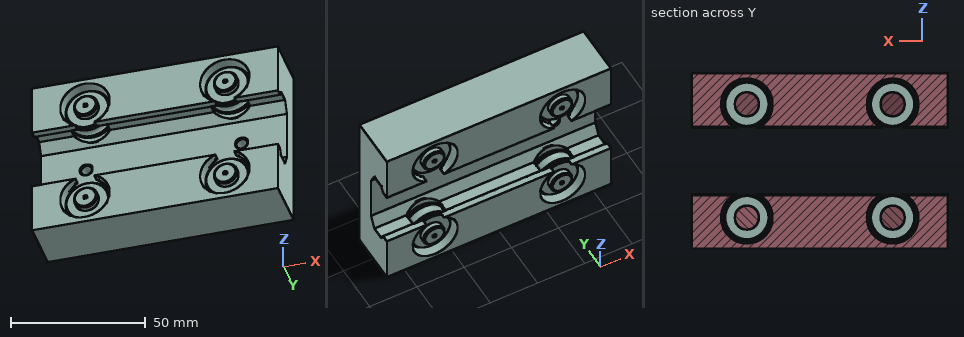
import cadquery as cq
import math

plate_width = 95.0
plate_depth = 21.0
plate_height = 65.0

channel_depth = 12.0
lip_half_height = 12.25
undercut_half_height = 14.5
floor_half_height = 9.85
undercut_centre_depth = 6.85
undercut_flat_width = 5.3
lip_flank_angle = math.radians(60)

hole_spacing = 60.0
hole_diameter = 4.2
hole_chamfer = 0.4

roller_spacing_x = 54.0
roller_spacing_z = 42.0
pocket_diameter = 19.0
pocket_depth = 11.5
roller_diameter = 17.0
roller_width = 7.0
roller_centre_depth = 6.6
roller_chamfer = 0.5
groove_half_width = 1.9
groove_depth = 1.05
hub_diameter = 9.0
hub_front_depth = 0.5
hub_chamfer = 0.5
centre_hole_diameter = 1.5
centre_hole_depth = 1.0

roller_places = [
    (side_x * roller_spacing_x / 2, side_z * roller_spacing_z / 2)
    for side_x in (-1, 1)
    for side_z in (-1, 1)
]


def cylinder_along_y(diameter, start, end, x=0.0, z=0.0):
    """Cylinder with its axis along +Y from y = start to y = end."""
    base = cq.Plane(origin=(x, start, z), xDir=(1, 0, 0), normal=(0, 1, 0))
    return cq.Workplane(base).circle(diameter / 2).extrude(end - start)


def make_channel():
    """Channel cutter: a front slot that widens behind the lips and narrows to the floor."""
    flat_start = undercut_centre_depth - undercut_flat_width / 2
    flat_end = undercut_centre_depth + undercut_flat_width / 2
    lip_end = flat_start - (undercut_half_height - lip_half_height) / math.tan(lip_flank_angle)
    upper_half = [
        (0, lip_half_height),
        (lip_end, lip_half_height),
        (flat_start, undercut_half_height),
        (flat_end, undercut_half_height),
        (channel_depth, floor_half_height),
    ]
    lower_half = [(y, -z) for y, z in reversed(upper_half)]
    return cq.Workplane("YZ").polyline(upper_half + lower_half).close().extrude(plate_width / 2, both=True)


def make_mounting_hole(x):
    """Through hole with a chamfered mouth at the channel floor."""
    hole = cylinder_along_y(hole_diameter, channel_depth, plate_depth, x)
    mouth_radius = hole_diameter / 2 + hole_chamfer
    mouth = cq.Solid.makeCone(
        mouth_radius,
        hole_diameter / 2,
        hole_chamfer,
        cq.Vector(x, channel_depth, 0),
        cq.Vector(0, 1, 0),
    )
    return hole.union(cq.Workplane(mouth))


def make_plate():
    plate = cq.Workplane("XY").box(plate_width, plate_depth, plate_height, centered=(True, False, True))
    plate = plate.cut(make_channel())
    for x in (-hole_spacing / 2, hole_spacing / 2):
        plate = plate.cut(make_mounting_hole(x))
    for x, z in roller_places:
        plate = plate.cut(cylinder_along_y(pocket_diameter, 0, pocket_depth, x, z))
    return plate


def make_roller(x, z):
    """Grooved roller with a hub that runs from its front boss back to the pocket floor."""
    radius = roller_diameter / 2
    hub_radius = hub_diameter / 2
    front = roller_centre_depth - roller_width / 2
    back = roller_centre_depth + roller_width / 2
    half_profile = (
        cq.Workplane("XY")
        .moveTo(0, hub_front_depth)
        .lineTo(hub_radius - hub_chamfer, hub_front_depth)
        .lineTo(hub_radius, hub_front_depth + hub_chamfer)
        .lineTo(hub_radius, front)
        .lineTo(radius - roller_chamfer, front)
        .lineTo(radius, front + roller_chamfer)
        .lineTo(radius, roller_centre_depth - groove_half_width)
        .threePointArc(
            (radius - groove_depth, roller_centre_depth),
            (radius, roller_centre_depth + groove_half_width),
        )
        .lineTo(radius, back - roller_chamfer)
        .lineTo(radius - roller_chamfer, back)
        .lineTo(hub_radius, back)
        .lineTo(hub_radius, pocket_depth)
        .lineTo(0, pocket_depth)
        .close()
    )
    roller = half_profile.revolve(360, (0, 0, 0), (0, 1, 0))
    centre_hole = cylinder_along_y(centre_hole_diameter, hub_front_depth, hub_front_depth + centre_hole_depth)
    return roller.cut(centre_hole).translate((x, 0, z))


plate = make_plate()
rollers = [make_roller(x, z) for x, z in roller_places]

result = cq.Compound.makeCompound([plate.val(), *[roller.val() for roller in rollers]])